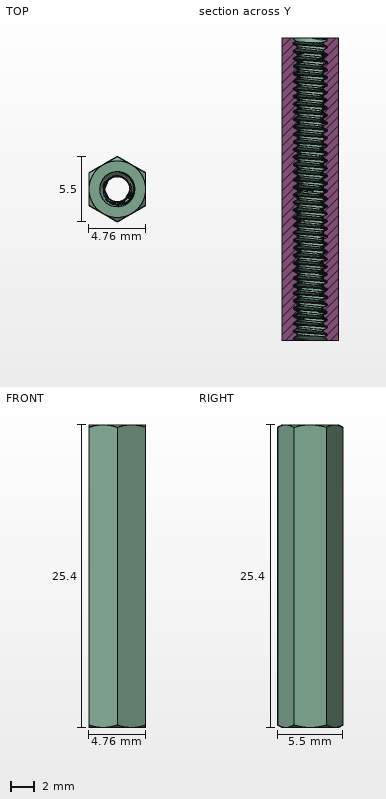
import cadquery as cq
import math

ACROSS_FLATS = 4.7625
LENGTH = 25.4
END_FACE_DIAMETER = 4.75
CORNER_CHAMFER_ANGLE = math.radians(30)
ACROSS_CORNERS = ACROSS_FLATS / math.cos(math.radians(30))

TURNS = 40
PITCH = LENGTH / TURNS
MAJOR_DIAMETER = 2.845
SHARP_V_HEIGHT = PITCH * math.sqrt(3) / 2
THREAD_DEPTH = 5 / 8 * SHARP_V_HEIGHT
MAJOR_RADIUS = MAJOR_DIAMETER / 2
MINOR_RADIUS = MAJOR_RADIUS - THREAD_DEPTH
ROOT_FRACTION = 1 / 8
CREST_FRACTION = 1 / 4
GROOVE_DIRECTION = 90
MOUTH_DIAMETER = 2.95

END_TURNS = 2
MIDDLE_TURNS = TURNS - 2 * END_TURNS
OVERRUN_TURNS = 0.25


def polar_point(radius, angle):
    return (radius * math.cos(angle), radius * math.sin(angle))


def mirrored(point):
    return (point[0], -point[1])


def hex_prism(turns):
    """Plain hexagonal prism, a whole number of thread turns tall."""
    prism = cq.Workplane("XY").polygon(6, ACROSS_CORNERS).extrude(turns * PITCH)
    return prism.rotate((0, 0, 0), (0, 0, 1), 90)


def thread_void(turns, overrun=0):
    """Space inside the thread: its level cross-section twisted once per pitch.

    It spans the given turns up from the XY plane, plus the overrun turns below it.

    The cross-section is an arc at the major radius, an arc at the minor radius
    and two flank curves that join them.
    """
    root_angle = math.pi * ROOT_FRACTION
    crest_angle = math.pi * (1 - CREST_FRACTION)
    root_end = polar_point(MAJOR_RADIUS, root_angle)
    crest_end = polar_point(MINOR_RADIUS, crest_angle)
    flank_middle = polar_point((MAJOR_RADIUS + MINOR_RADIUS) / 2, (root_angle + crest_angle) / 2)

    total_turns = turns + overrun
    section = (
        cq.Workplane("XY", origin=(0, 0, -overrun * PITCH))
        .moveTo(*root_end)
        .threePointArc(flank_middle, crest_end)
        .threePointArc((-MINOR_RADIUS, 0), mirrored(crest_end))
        .threePointArc(mirrored(flank_middle), mirrored(root_end))
        .threePointArc((MAJOR_RADIUS, 0), root_end)
        .close()
    )
    start_direction = GROOVE_DIRECTION - 360 * overrun
    void = section.twistExtrude(total_turns * PITCH, 360 * total_turns)
    return void.rotate((0, 0, 0), (0, 0, 1), start_direction)


def corner_chamfer_cone(height):
    """Cone frustum that widens upward and trims the hexagon corners at the end face."""
    end_radius = END_FACE_DIAMETER / 2
    outer_radius = end_radius + height / math.tan(CORNER_CHAMFER_ANGLE)
    return cq.Workplane(cq.Solid.makeCone(end_radius, outer_radius, height))


def countersink_cone():
    mouth_radius = MOUTH_DIAMETER / 2
    return cq.Workplane(cq.Solid.makeCone(mouth_radius, 0, mouth_radius))


def bottom_section():
    """Threaded end with chamfered corners and a countersunk mouth."""
    blank = hex_prism(END_TURNS).intersect(corner_chamfer_cone(END_TURNS * PITCH))
    return blank.cut(countersink_cone()).cut(thread_void(END_TURNS, OVERRUN_TURNS))


def top_section(bottom):
    """The bottom end turned over about the groove direction, so the thread runs on unbroken."""
    direction = math.radians(GROOVE_DIRECTION)
    axis_end = (math.cos(direction), math.sin(direction), 0)
    return bottom.rotate((0, 0, 0), axis_end, 180).translate((0, 0, LENGTH))


def middle_walls():
    """Hexagon flats and thread faces of the length between the two ends, without end caps."""
    solids = [hex_prism(MIDDLE_TURNS), thread_void(MIDDLE_TURNS)]
    walls = []
    for solid in solids:
        raised = solid.translate((0, 0, END_TURNS * PITCH))
        walls += raised.faces("not(<Z or >Z)").vals()
    return walls


def join_into_solid(faces):
    """Sew faces that meet edge to edge and merge the flats that run on from one to the next."""
    shell = cq.Shell.makeShell(faces)
    return cq.Workplane(cq.Solid.makeSolid(shell).clean())


bottom_end = bottom_section()
top_end = top_section(bottom_end)
bottom_walls = bottom_end.faces("not >Z").vals()
top_walls = top_end.faces("not <Z").vals()
result = join_into_solid(bottom_walls + middle_walls() + top_walls)